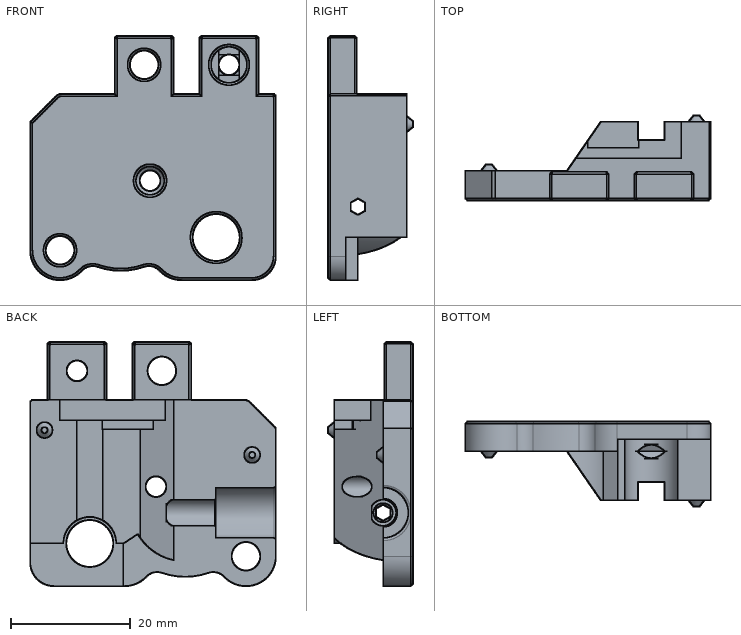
import cadquery as cq
import math

width = 41.0
shoulder_height = 31.08
plate_thickness = 5.0
bevel_size = 4.7
corner_break = 0.33
edge_chamfer = 0.4

boss_radius = 5.0
lobe_x = 15.13
lobe_z = 13.3
lobe_radius = 11.73
blend_radius = 2.5
right_corner_radius = 4.0

tab_width = 9.85
tab_top = 40.75
tab_thickness = 4.85
tab_root = 28.7
tab_hole_z = 35.9
left_tab_x = 19.02
right_tab_x = 33.15

block_back = 13.15
slope_foot_x = 17.0
slope_head_x = 22.65
block_arc_radius = 9.15
block_arc_end_x = 23.05
block_floor_start_x = 25.4
block_floor_z = 7.15

thin_thickness = 3.0

notch_right_x = 36.1
notch_front_y = 7.05
notch_floor_z = 27.68
pocket_left_x = 20.4
pocket_right_x = 29.0
pocket_front_y = 8.8
pocket_floor_z = 26.2
slot_left_x = 28.85
slot_right_x = 33.25
slot_front_y = 10.13

plain_hole_diameter = 4.7
large_hole_diameter = 7.8
large_hole_x = 31.05
large_hole_z = 7.15
large_bore_diameter = 8.8
screw_hole_diameter = 3.4
screw_hole_x = 20.0
screw_hole_z = 16.6
screw_bore_depth = 5.0
screw_cone_depth = 0.65
tab_bore_diameter = 6.0
tab_bore_depth = 3.0
bridge_step = 0.2

cross_z = 12.25
groove_diameter = 8.4
groove_depth = 10.0
groove_lip_radius = 0.4
cross_bore_diameter = 4.35
cross_bore_chamfer = 0.2
cross_bore_end_x = 18.33
cross_cone_diameter = 3.2
hex_corner_diameter = 2.7
cross_cone_depth = 0.4

pin_base_diameter = 2.65
pin_tip_diameter = 1.02
pin_height = 1.02
plate_pin_x = 3.98
plate_pin_z = 21.9
block_pin_x = 38.6
block_pin_z = 26.05


def box(x_range, y_range, z_range):
    """Box spanning the given ranges."""
    spans = [x_range, y_range, z_range]
    sizes = [high - low for low, high in spans]
    lows = [low for low, high in spans]
    return cq.Workplane("XY").box(*sizes, centered=False).translate(tuple(lows))


def round_y(x, y, z, diameter, end_diameter, length):
    """Round body along +Y, starting at y; tapered when the diameters differ."""
    start = cq.Vector(x, y, z)
    axis = cq.Vector(0, 1, 0)
    if diameter == end_diameter:
        solid = cq.Solid.makeCylinder(diameter / 2, length, start, axis)
    else:
        solid = cq.Solid.makeCone(diameter / 2, end_diameter / 2, length, start, axis)
    return cq.Workplane(obj=solid)


def round_x(x, diameter, end_diameter, length):
    """Round body along +X on the axis of the cross bore."""
    turned = round_y(0, 0, 0, diameter, end_diameter, length).rotate((0, 0, 0), (0, 0, 1), -90)
    return turned.translate((x, plate_thickness, cross_z))


def polar(center_x, center_z, radius, angle):
    """Point on a circle in the XZ plane."""
    return (center_x + radius * math.cos(angle), center_z + radius * math.sin(angle))


def mirrored(point):
    """Point mirrored across the middle of the lobe."""
    return (2 * lobe_x - point[0], point[1])


def plate():
    """Plate with a bevelled upper left corner and a wavy lower edge."""
    to_lobe_x = lobe_x - boss_radius
    to_lobe_z = lobe_z - boss_radius
    span = math.hypot(to_lobe_x, to_lobe_z)
    boss_reach = boss_radius + blend_radius
    lobe_reach = lobe_radius + blend_radius
    corner_angle = math.acos((span**2 + boss_reach**2 - lobe_reach**2) / (2 * span * boss_reach))
    boss_angle = math.atan2(to_lobe_z, to_lobe_x) - corner_angle
    blend_x, blend_z = polar(boss_radius, boss_radius, boss_reach, boss_angle)
    lobe_angle = math.atan2(blend_z - lobe_z, blend_x - lobe_x)

    down = -math.pi / 2
    down_left = -0.75 * math.pi
    boss_left_mid = polar(boss_radius, boss_radius, boss_radius, down_left)
    boss_bottom = (boss_radius, 0)
    boss_mid = polar(boss_radius, boss_radius, boss_radius, (down + boss_angle) / 2)
    boss_end = polar(boss_radius, boss_radius, boss_radius, boss_angle)
    blend_top = (blend_x, blend_z + blend_radius)
    lobe_start = polar(lobe_x, lobe_z, lobe_radius, lobe_angle)
    lobe_bottom = (lobe_x, lobe_z - lobe_radius)
    corner_mid = polar(width - right_corner_radius, right_corner_radius, right_corner_radius, down / 2)
    return (
        cq.Workplane("XZ")
        .moveTo(0, boss_radius)
        .threePointArc(boss_left_mid, boss_bottom)
        .threePointArc(boss_mid, boss_end)
        .threePointArc(blend_top, lobe_start)
        .threePointArc(lobe_bottom, mirrored(lobe_start))
        .threePointArc(mirrored(blend_top), mirrored(boss_end))
        .threePointArc(mirrored(boss_mid), mirrored(boss_bottom))
        .lineTo(width - right_corner_radius, 0)
        .threePointArc(corner_mid, (width, right_corner_radius))
        .lineTo(width, shoulder_height)
        .lineTo(bevel_size, shoulder_height)
        .lineTo(0, shoulder_height - bevel_size)
        .close()
        .extrude(-plate_thickness)
    )


def tab(center_x):
    """Tab rising above the shoulder, bevelled on its top corners and back edges."""
    half = tab_width / 2
    body = box((center_x - half, center_x + half), (0, tab_thickness), (tab_root, tab_top))
    body = body.edges("|Y and >Z").chamfer(corner_break)
    return body.faces(">Y").edges("not <Z").chamfer(edge_chamfer)


def block():
    """Thick block with a sloped left face and an arched underside."""
    plan = (
        cq.Workplane("XY")
        .moveTo(slope_foot_x, plate_thickness)
        .lineTo(slope_head_x, block_back)
        .lineTo(width, block_back)
        .lineTo(width, plate_thickness)
        .close()
        .extrude(shoulder_height)
    )
    arc_drop = math.sqrt(block_arc_radius**2 - (block_arc_end_x - lobe_x) ** 2)
    side = (
        cq.Workplane("XZ")
        .moveTo(lobe_x, lobe_z - block_arc_radius)
        .threePointArc(
            polar(lobe_x, lobe_z, block_arc_radius, -math.pi / 4),
            (block_arc_end_x, lobe_z - arc_drop),
        )
        .lineTo(block_floor_start_x, block_floor_z)
        .lineTo(width, block_floor_z)
        .lineTo(width, shoulder_height)
        .lineTo(lobe_x, shoulder_height)
        .close()
        .extrude(-block_back)
    )
    body = plan.intersect(side)
    notch = box((0, notch_right_x), (notch_front_y, block_back), (notch_floor_z, shoulder_height))
    pocket = box(
        (pocket_left_x, pocket_right_x), (pocket_front_y, block_back), (pocket_floor_z, shoulder_height)
    )
    slot = box((slot_left_x, slot_right_x), (slot_front_y, block_back), (0, shoulder_height))
    return body.cut(notch).cut(pocket).cut(slot)


def hole_entry(x, z, diameter):
    """Bevel where a hole opens on the front face."""
    return round_y(x, 0, z, diameter + 2 * edge_chamfer, diameter, edge_chamfer)


def through_hole(x, z, diameter):
    """Straight hole through the whole part, bevelled at the front."""
    return round_y(x, 0, z, diameter, diameter, block_back).union(hole_entry(x, z, diameter))


def large_hole_relief():
    """Thinned plate below the block, and a wider bore where the large hole meets the block."""
    diameter = large_bore_diameter
    depth = block_back - thin_thickness
    bore = round_y(large_hole_x, thin_thickness, large_hole_z, diameter, diameter, depth)
    thinned = box((block_floor_start_x, width), (thin_thickness, plate_thickness), (0, block_floor_z))
    return bore.union(thinned)


def screw_hole():
    """Counterbore that narrows through a cone to the screw hole."""
    x, z = screw_hole_x, screw_hole_z
    bore = round_y(x, 0, z, plain_hole_diameter, plain_hole_diameter, screw_bore_depth)
    cone = round_y(x, screw_bore_depth, z, plain_hole_diameter, screw_hole_diameter, screw_cone_depth)
    screw = round_y(x, 0, z, screw_hole_diameter, screw_hole_diameter, block_back)
    return bore.union(cone).union(screw).union(hole_entry(x, z, plain_hole_diameter))


def tab_counterbore():
    """Counterbore whose floor steps from a full-height band to a square to the screw hole."""
    x, z = right_tab_x, tab_hole_z
    half = screw_hole_diameter / 2
    square_end = tab_bore_depth + 2 * bridge_step
    bore = round_y(x, 0, z, tab_bore_diameter, tab_bore_diameter, tab_bore_depth)
    column = round_y(x, 0, z, tab_bore_diameter, tab_bore_diameter, tab_bore_depth + bridge_step)
    band = column.intersect(box((x - half, x + half), (0, plate_thickness), (tab_root, tab_top)))
    square = box((x - half, x + half), (0, square_end), (z - half, z + half))
    screw = round_y(x, 0, z, screw_hole_diameter, screw_hole_diameter, plate_thickness)
    return bore.union(band).union(square).union(screw).union(hole_entry(x, z, tab_bore_diameter))


def cross_bore():
    """Stepped bore along X: half-open groove, round bore, cone and hexagonal passage."""
    groove_radius = groove_diameter / 2
    lip_bulge = groove_lip_radius * (1 - math.sqrt(0.5))
    groove = (
        cq.Workplane("XY")
        .lineTo(0, groove_radius + groove_lip_radius)
        .threePointArc((lip_bulge, groove_radius + lip_bulge), (groove_lip_radius, groove_radius))
        .lineTo(groove_depth, groove_radius)
        .lineTo(groove_depth, 0)
        .close()
        .revolve(360, (0, 0), (1, 0))
        .translate((0, plate_thickness, cross_z))
    )
    entry_diameter = cross_bore_diameter + 2 * cross_bore_chamfer
    entry = round_x(groove_depth, entry_diameter, cross_bore_diameter, cross_bore_chamfer)
    bore = round_x(0, cross_bore_diameter, cross_bore_diameter, cross_bore_end_x)
    hex_flat_width = hex_corner_diameter * math.cos(math.radians(30))
    cone = round_x(cross_bore_end_x, cross_cone_diameter, hex_flat_width, cross_cone_depth)
    hexagon = (
        cq.Workplane("YZ", origin=(0, plate_thickness, cross_z))
        .transformed(rotate=(0, 0, 90))
        .polygon(6, hex_corner_diameter)
        .extrude(width)
    )
    return groove.union(entry).union(bore).union(cone).union(hexagon)


body = plate().union(block())
for corner_x in (bevel_size, width):
    corner = cq.selectors.NearestToPointSelector((corner_x, plate_thickness / 2, shoulder_height))
    body = body.edges("|Y").edges(corner).chamfer(corner_break)
body = body.union(tab(left_tab_x)).union(tab(right_tab_x))
body = body.faces("<Y").edges().chamfer(edge_chamfer)

for hole_x, hole_z, hole_diameter in [
    (boss_radius, boss_radius, plain_hole_diameter),
    (left_tab_x, tab_hole_z, plain_hole_diameter),
    (large_hole_x, large_hole_z, large_hole_diameter),
]:
    body = body.cut(through_hole(hole_x, hole_z, hole_diameter))

body = body.cut(large_hole_relief()).cut(screw_hole()).cut(tab_counterbore()).cut(cross_bore())

for pin_x, pin_y, pin_z in [
    (plate_pin_x, plate_thickness, plate_pin_z),
    (block_pin_x, block_back, block_pin_z),
]:
    body = body.union(round_y(pin_x, pin_y, pin_z, pin_base_diameter, pin_tip_diameter, pin_height))

result = body